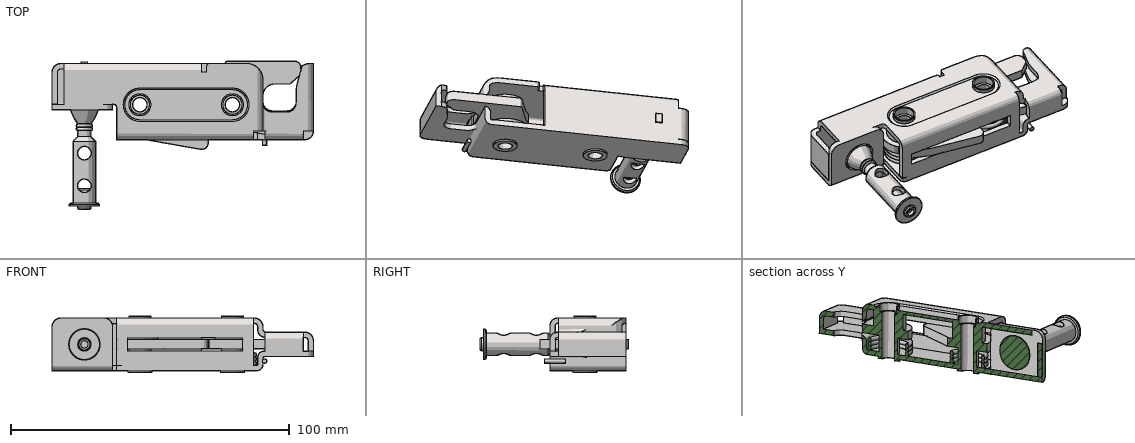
import cadquery as cq
import math

SHEET = 2.0
LENGTH = 93.85
DEPTH = 27.4
HEIGHT = 19.0
BEND = 2.8
TIGHT_BEND = 2.25
CORNER = 3.2
INNER_BEND = BEND - SHEET

NOSE_FRONT = 10.7
NOSE_INNER = NOSE_FRONT + SHEET
NOSE_LENGTH = 21.8
LEFT_WALL_TOP = 14.45
TOP_PLATE_START = 4.3
BACK_WALL_END = 53.7
RELIEF_WIDTH = 1.8
RELIEF_DEPTH = 3.0
NOTCH_RADIUS = 1.1
SEAM = 0.1

BODY_START = 23.2
BODY_END = 72.4
BOTTOM_CORNER = 1.8
TOP_CORNER = 5.9
SLOT_START, SLOT_END = 27.1, 68.4
SLOT_BOTTOM, SLOT_TOP = 7.1, 11.8

STEP_FACE = 75.7
HOOK_BOTTOM, HOOK_TOP = 5.1, 13.9
HOOK_WALL_START, HOOK_WALL_END = 76.4, 90.2
UPPER_STEP_RADIUS, LOWER_STEP_RADIUS = 1.0, 0.6
END_WALL_FRONT = 3.1
MOUTH_RIGHT = 87.6
UPPER_MOUTH_FRONT, LOWER_MOUTH_FRONT = 9.95, 10.4
MOUTH_RADIUS = 3.2
MOUTH_FLARE = 2.2
FLARE_START = 18.8
FLARE_RADIUS = 11.3
END_ROUND = 0.75

RIVET_Y = 12.6
LEFT_RIVET_X, RIGHT_RIVET_X = 31.5, 64.8
RIVET_PLACES = (LEFT_RIVET_X, RIGHT_RIVET_X)
RIVET_PROUD = 0.7
RIVET_HEAD, RIVET_FOOT = 7.9, 8.6
RIVET_BORE, RIVET_HOLE = 6.85, 5.1
RIVET_BORE_DEPTH = 2.8
SPACER = 12.7
PAD_WIDTH = 11.9
PAD_DEPTH = 0.6
PAD_SLOPE = 0.6
PAD_X = (LEFT_RIVET_X + RIGHT_RIVET_X) / 2
PAD_LENGTH = RIGHT_RIVET_X - LEFT_RIVET_X + PAD_WIDTH

LEVER_BOTTOM, LEVER_TOP = 7.9, 11.3
LEVER_HUB = 8.4
LATCH_START, LATCH_END = 62.4, 89.3
LATCH_BACK = 28.25
CLAW_FRONT = 20.0
CLAW_RADIUS = 4.2
CLAW_TOE_X, CLAW_HEEL_Y = 85.4, 23.5
LATCH_BACK_RADIUS, LATCH_END_RADIUS = 0.9, 2.3
TRIGGER_HEEL = (27.2, 2.6, 5.6)
TRIGGER_KNEE = (34.7, -0.2, 7.5)
TRIGGER_END = 56.1
TRIGGER_FRONT, TRIGGER_BACK = -3.9, 3.3
TIP_RADIUS = 2.4

WIRE = 1.6
COIL_PITCH = 1.5
COIL_COUNT = 3
LEFT_COIL_RADIUS, RIGHT_COIL_RADIUS = 6.6, 7.9
COIL_OVERLAP = 0.1
LEG_X, LEG_Z = 76.3, 3.5
LEG_START, LEG_END = -2.0, 5.6

SPINDLE_X, SPINDLE_Z = 11.6, 9.5
SPINDLE_END = -25.1
PLATE_HOLE = 11.3
CONE, NECK, TUBE, FLANGE = 9.95, 4.8, 8.2, 10.9
CONE_TIP = 5.1
CONE_MIDDLE = (4.1, 8.5)
CONE_END, NECK_END = 5.8, 1.1
TUBE_START, TUBE_END = -0.6, -22.7
FLANGE_FACE = -23.8
FLANGE_CHAMFER = 0.5
DRUM = 12.7
DRUM_END = 17.55
TUBE_BORE = 5.1
TUBE_BORE_START = -1.5
PLUG_FACE = -17.5
PLUG_CHAMFER = 0.6
CROSS_HOLE = 4.8
CROSS_HOLE_PLACES = (-4.8, -16.5)
CAP_TIP, CAP_RECESS = 4.0, 2.6
CAP_RECESS_DEPTH = 1.4
CAP_CHAMFER = 0.6
NECK_WIRE = 1.1
NECK_RINGS = (5.1, 3.85)
BACK_TAB_WIDTH, BACK_TAB_HEIGHT, BACK_TAB_PROUD = 2.3, 3.4, 0.6


def outline(plane, corners):
    """Closed outline from (u, v) or (u, v, radius) corners."""
    stops = []
    for i, corner in enumerate(corners):
        u, v = corner[:2]
        if len(corner) == 2:
            stops.append([(u, v)])
            continue
        radius = corner[2]
        before, after = corners[i - 1], corners[(i + 1) % len(corners)]
        a = math.atan2(before[1] - v, before[0] - u)
        b = math.atan2(after[1] - v, after[0] - u)
        half = abs(math.remainder(a - b, math.tau)) / 2
        middle = a + math.remainder(b - a, math.tau) / 2
        run = radius / math.tan(half)
        reach = radius / math.sin(half) - radius
        stops.append([
            (u + run * math.cos(a), v + run * math.sin(a)),
            (u + reach * math.cos(middle), v + reach * math.sin(middle)),
            (u + run * math.cos(b), v + run * math.sin(b)),
        ])
    wire = cq.Workplane(plane).moveTo(*stops[0][-1])
    for stop in stops[1:] + stops[:1]:
        wire = wire.lineTo(*stop[0])
        if len(stop) == 3:
            wire = wire.threePointArc(stop[1], stop[2])
    return wire.close()


def along_x(corners, start, end):
    return outline("YZ", corners).extrude(end - start).translate((start, 0, 0))


def along_y(corners, start, end):
    return outline("XZ", corners).extrude(start - end).translate((0, start, 0))


def along_z(corners, start, end):
    return outline("XY", corners).extrude(end - start).translate((0, 0, start))


def cylinder_z(x, y, diameter, start, end):
    return cq.Workplane("XY", origin=(x, y, start)).circle(diameter / 2).extrude(end - start)


def cylinder_y(diameter, start, end, x=0, z=0):
    return cq.Workplane("XZ", origin=(x, start, z)).circle(diameter / 2).extrude(start - end)


def ring(radius, wire, center, axis):
    return cq.Workplane(cq.Solid.makeTorus(radius, wire / 2, cq.Vector(*center), cq.Vector(*axis)))


def nose():
    """Left end: bent front plate, bottom plate, and the left wall running into the back wall."""
    plate_start = NOSE_INNER + TIGHT_BEND
    front = along_x([
        (NOSE_FRONT, HEIGHT), (NOSE_FRONT, 0, TIGHT_BEND), (plate_start, 0), (plate_start, SHEET),
        (NOSE_INNER, SHEET, TIGHT_BEND - SHEET), (NOSE_INNER, HEIGHT),
    ], 0, NOSE_LENGTH)
    front = front.edges("|Y and >Z").fillet(CORNER)
    front = front.cut(cylinder_y(PLATE_HOLE, NOSE_FRONT, NOSE_INNER, SPINDLE_X, SPINDLE_Z))
    bottom = along_z([
        (0, plate_start), (NOSE_LENGTH, plate_start), (NOSE_LENGTH, NOSE_INNER), (BODY_START, NOSE_INNER),
        (BODY_START, DEPTH), (0, DEPTH, CORNER),
    ], 0, SHEET)
    walls = along_z([
        (0, NOSE_INNER + SEAM), (0, DEPTH, CORNER), (BACK_WALL_END, DEPTH), (BACK_WALL_END, DEPTH - SHEET),
        (SHEET, DEPTH - SHEET, CORNER - SHEET), (SHEET, NOSE_INNER + SEAM),
    ], SHEET + SEAM, LEFT_WALL_TOP)
    return front.union(bottom).union(walls)


def top_and_back():
    """Top plate behind the nose, bent down into the back wall."""
    return along_x([
        (NOSE_INNER, HEIGHT), (DEPTH, HEIGHT, BEND), (DEPTH, 0), (DEPTH - SHEET, 0),
        (DEPTH - SHEET, HEIGHT - SHEET, INNER_BEND), (NOSE_INNER, HEIGHT - SHEET),
    ], TOP_PLATE_START, BACK_WALL_END)


def body():
    """Middle of the housing: bottom plate, slotted front wall and top plate."""
    middle = DEPTH / 2
    section = along_x([
        (0, SHEET), (SHEET, SHEET), (SHEET, HEIGHT - SHEET, INNER_BEND),
        (middle, HEIGHT - SHEET), (middle, HEIGHT), (0, HEIGHT, BEND),
    ], BODY_START, BODY_END)
    relief_end = BACK_WALL_END + RELIEF_WIDTH
    top = along_z([
        (BODY_START - BEND, NOSE_INNER), (BODY_START, NOSE_INNER, NOTCH_RADIUS),
        (BODY_START, BEND), (BODY_END, BEND), (BODY_END, DEPTH), (relief_end, DEPTH, NOTCH_RADIUS),
        (relief_end, DEPTH - RELIEF_DEPTH), (BODY_START - BEND, DEPTH - RELIEF_DEPTH),
    ], HEIGHT - SHEET, HEIGHT)
    slot = cq.Workplane("XY").box(
        SLOT_END - SLOT_START, SHEET, SLOT_TOP - SLOT_BOTTOM, centered=False
    ).translate((SLOT_START, 0, SLOT_BOTTOM))
    bottom = along_z([
        (BODY_START, 0, BOTTOM_CORNER), (BODY_END, 0), (BODY_END, DEPTH), (BODY_START, DEPTH),
    ], 0, SHEET)
    return bottom.union(section).union(top).cut(slot)


def mouth(front):
    """U-shaped opening of the hook, flaring toward the back."""
    flare_end = MOUTH_RIGHT + MOUTH_FLARE
    return outline("XY", [
        (STEP_FACE, DEPTH), (STEP_FACE, front, MOUTH_RADIUS), (MOUTH_RIGHT, front, MOUTH_RADIUS),
        (MOUTH_RIGHT, FLARE_START, FLARE_RADIUS), (flare_end, DEPTH - END_ROUND, END_ROUND),
        (LENGTH - SHEET, DEPTH),
    ]).extrude(HEIGHT)


def hook():
    """Stepped sheets at the right end, closed by a front wall and an end wall."""
    overlap = BODY_END - SHEET
    wall_back = END_WALL_FRONT + SHEET
    upper = along_y([
        (overlap, HEIGHT), (STEP_FACE, HEIGHT, CORNER), (STEP_FACE, HOOK_TOP, UPPER_STEP_RADIUS),
        (LENGTH, HOOK_TOP, CORNER), (LENGTH, HOOK_BOTTOM), (LENGTH - SHEET, HOOK_BOTTOM),
        (LENGTH - SHEET, HOOK_TOP - SHEET, CORNER - SHEET),
        (STEP_FACE - SHEET, HOOK_TOP - SHEET, BEND), (STEP_FACE - SHEET, HEIGHT - SHEET, CORNER - SHEET),
        (overlap, HEIGHT - SHEET),
    ], END_WALL_FRONT, DEPTH)
    lower = along_y([
        (overlap, 0), (STEP_FACE, 0, TIGHT_BEND), (STEP_FACE, HOOK_BOTTOM, LOWER_STEP_RADIUS),
        (LENGTH, HOOK_BOTTOM), (LENGTH, HOOK_BOTTOM + SHEET),
        (STEP_FACE - SHEET, HOOK_BOTTOM + SHEET, TIGHT_BEND), (STEP_FACE - SHEET, SHEET, TIGHT_BEND - SHEET),
        (overlap, SHEET),
    ], 0, DEPTH)
    lower = lower.edges("|Z and >X and <Y").fillet(CORNER)
    wall = along_x([
        (0, HOOK_BOTTOM), (0, HOOK_TOP, BEND), (wall_back, HOOK_TOP),
        (wall_back, HOOK_TOP - SHEET), (SHEET, HOOK_TOP - SHEET, INNER_BEND), (SHEET, HOOK_BOTTOM),
    ], HOOK_WALL_START, HOOK_WALL_END)
    upper = upper.cut(mouth(UPPER_MOUTH_FRONT))
    lower = lower.cut(mouth(LOWER_MOUTH_FRONT))
    return upper.union(lower).union(wall)


def pad():
    """Shallow recess with sloping edges, cut into the top plate around both rivets."""
    angle = math.degrees(math.atan2(PAD_SLOPE, PAD_DEPTH))
    return (
        cq.Workplane("XY", origin=(PAD_X, RIVET_Y, HEIGHT))
        .slot2D(PAD_LENGTH, PAD_WIDTH)
        .extrude(-PAD_DEPTH, taper=angle)
    )


def top_corner():
    """Material outside the large back corner of the top plate."""
    start = STEP_FACE - TOP_CORNER
    end = DEPTH - TOP_CORNER
    bulge = TOP_CORNER * math.sqrt(0.5)
    return (
        cq.Workplane("XY", origin=(0, 0, HOOK_TOP - SHEET))
        .moveTo(start, DEPTH)
        .threePointArc((start + bulge, end + bulge), (STEP_FACE, end))
        .lineTo(STEP_FACE, DEPTH)
        .close()
        .extrude(HEIGHT)
    )


def rivet(x):
    """Rivet post through the housing, standing proud of both plates."""
    top = HEIGHT + RIVET_PROUD
    post = cylinder_z(x, RIVET_Y, RIVET_HEAD, 0, top)
    foot = cylinder_z(x, RIVET_Y, RIVET_FOOT, -RIVET_PROUD, 0)
    return post.union(foot)


def spacer(x):
    return cylinder_z(x, RIVET_Y, SPACER, LEVER_TOP, HEIGHT - SHEET)


def rivet_bores(x):
    """Through hole and wider upper bore of a rivet."""
    top = HEIGHT + RIVET_PROUD
    hole = cylinder_z(x, RIVET_Y, RIVET_HOLE, -RIVET_PROUD, top)
    bore = cylinder_z(x, RIVET_Y, RIVET_BORE, top - RIVET_BORE_DEPTH, top)
    return hole.union(bore)


def trigger():
    """Lever on the left rivet, its sloping edge reaching out through the front slot."""
    hub = cylinder_z(LEFT_RIVET_X, RIVET_Y, 2 * LEVER_HUB, LEVER_BOTTOM, LEVER_TOP)
    blade = along_z([
        (LEFT_RIVET_X - LEVER_HUB, RIVET_Y), TRIGGER_HEEL, TRIGGER_KNEE,
        (TRIGGER_END, TRIGGER_FRONT, TIP_RADIUS), (TRIGGER_END, TRIGGER_BACK, TIP_RADIUS),
        (LEFT_RIVET_X + LEVER_HUB, RIVET_Y),
    ], LEVER_BOTTOM, LEVER_TOP)
    return hub.union(blade)


def latch():
    """Lever on the right rivet, its claw closing the mouth of the hook."""
    hub = cylinder_z(RIGHT_RIVET_X, RIVET_Y, 2 * LEVER_HUB, LEVER_BOTTOM, LEVER_TOP)
    claw = along_z([
        (RIGHT_RIVET_X - LEVER_HUB, RIVET_Y), (LATCH_START, LATCH_BACK, LATCH_BACK_RADIUS),
        (LATCH_END, LATCH_BACK, LATCH_END_RADIUS), (LATCH_END, CLAW_HEEL_Y), (CLAW_TOE_X, CLAW_FRONT),
        (STEP_FACE, CLAW_FRONT, CLAW_RADIUS),
        (STEP_FACE, UPPER_MOUTH_FRONT), (HOOK_WALL_START, UPPER_MOUTH_FRONT), (HOOK_WALL_START, SHEET),
        (RIGHT_RIVET_X, RIVET_Y - LEVER_HUB),
    ], LEVER_BOTTOM, LEVER_TOP)
    return hub.union(claw)


def coils(x, radius):
    """Turns of a torsion spring stacked on the bottom plate."""
    first = SHEET + WIRE / 2 - COIL_OVERLAP
    turns = ring(radius, WIRE, (x, RIVET_Y, first), (0, 0, 1))
    for i in range(1, COIL_COUNT):
        turns = turns.union(ring(radius, WIRE, (x, RIVET_Y, first + i * COIL_PITCH), (0, 0, 1)))
    return turns


def spring_leg():
    return cylinder_y(WIRE, LEG_START, LEG_END, LEG_X, LEG_Z)


def spindle():
    """Turned rod across the nose, with its spring turns, hollow tube, cross holes and end cap."""
    rod = (
        cq.Workplane("XY")
        .moveTo(0, DEPTH)
        .lineTo(NECK / 2, DEPTH)
        .lineTo(NECK / 2, DRUM_END)
        .lineTo(DRUM / 2, DRUM_END)
        .lineTo(DRUM / 2, NOSE_INNER)
        .lineTo(CONE / 2, NOSE_INNER)
        .lineTo(CONE / 2, NOSE_FRONT)
        .threePointArc(CONE_MIDDLE, (CONE_TIP / 2, CONE_END))
        .lineTo(NECK / 2, CONE_END)
        .lineTo(NECK / 2, NECK_END)
        .lineTo(TUBE / 2, TUBE_START)
        .lineTo(TUBE / 2, TUBE_END)
        .lineTo(FLANGE / 2 - FLANGE_CHAMFER, TUBE_END)
        .lineTo(FLANGE / 2, TUBE_END - FLANGE_CHAMFER)
        .lineTo(FLANGE / 2, FLANGE_FACE)
        .lineTo(NECK / 2, FLANGE_FACE)
        .lineTo(NECK / 2, SPINDLE_END + CAP_CHAMFER)
        .lineTo(CAP_TIP / 2, SPINDLE_END)
        .lineTo(CAP_RECESS / 2, SPINDLE_END)
        .lineTo(CAP_RECESS / 2, SPINDLE_END + CAP_RECESS_DEPTH)
        .lineTo(0, SPINDLE_END + CAP_RECESS_DEPTH)
        .close()
        .revolve(360, (0, 0), (0, 1))
    )
    plug = cylinder_y(TUBE_BORE, TUBE_END, PLUG_FACE)
    bore = cylinder_y(TUBE_BORE, TUBE_END, TUBE_BORE_START)
    rod = rod.cut(bore)
    for y in CROSS_HOLE_PLACES:
        rod = rod.cut(cylinder_z(0, y, CROSS_HOLE, -TUBE, TUBE))
    rod = rod.union(plug.faces(">Y").chamfer(PLUG_CHAMFER))
    for y in NECK_RINGS:
        rod = rod.union(ring(NECK / 2, NECK_WIRE, (0, y, 0), (0, 1, 0)))
    return rod.translate((SPINDLE_X, 0, SPINDLE_Z))


def back_tab():
    """Small tab behind the back wall, in line with the spindle."""
    return cq.Workplane("XY").box(
        BACK_TAB_WIDTH, SHEET + BACK_TAB_PROUD, BACK_TAB_HEIGHT, centered=(True, False, True)
    ).translate((SPINDLE_X, DEPTH - SHEET, SPINDLE_Z))


result = nose()
for sheet in (top_and_back(), body(), hook()):
    result = result.union(sheet)
result = result.cut(pad()).cut(top_corner())

fittings = [trigger(), latch(), spring_leg(), spindle(), back_tab()]
fittings += [coils(LEFT_RIVET_X, LEFT_COIL_RADIUS), coils(RIGHT_RIVET_X, RIGHT_COIL_RADIUS)]
fittings += [spacer(x) for x in RIVET_PLACES]
fittings += [rivet(x) for x in RIVET_PLACES]
for fitting in fittings:
    result = result.union(fitting)
for x in RIVET_PLACES:
    result = result.cut(rivet_bores(x))